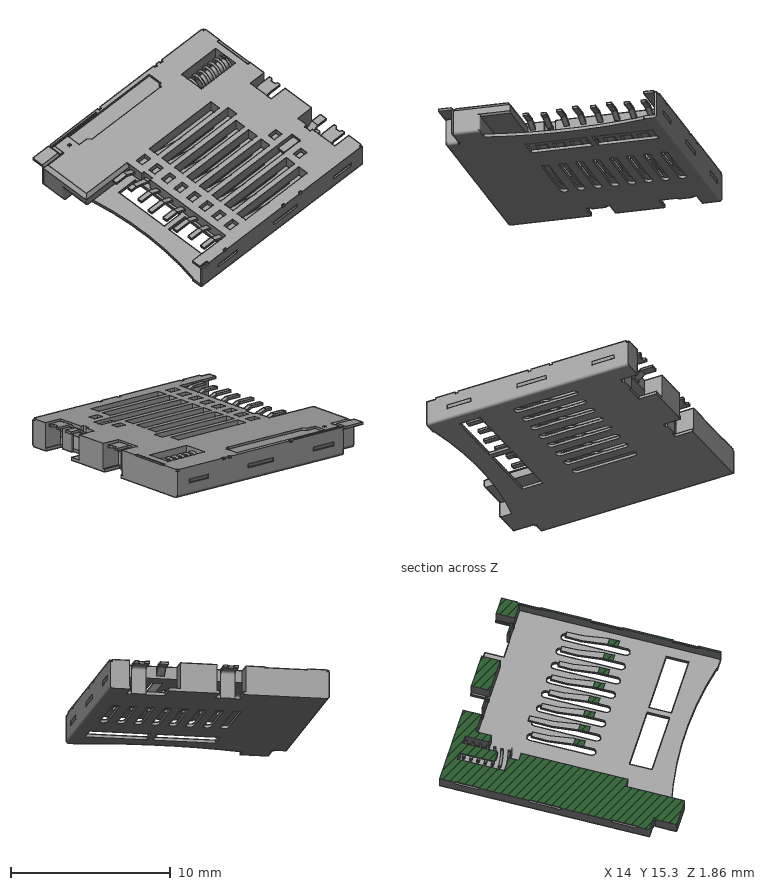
import cadquery as cq
import math


WIDTH = 14.0
LENGTH = 15.25
HEIGHT = 1.86

SHEET = 0.2
LONG_EDGE_RADIUS = 0.19
SHELL = 0.14
FLANGE = 0.15
CAVITY_TOP = 1.08
CAVITY_LEFT = 2.73
CAVITY_RIGHT = WIDTH - SHELL
REAR_WALL_Y = 14.01
CORNER_STEPS = ((3.45, 11.5), (4.02, 13.0))
CORNER_RIB_WIDTH = 0.55
CORNER_RIB_FOOT = 0.3
CORNER_RIB_RADIUS = 0.825
CORNER_RIB_LENGTH = 7.0

BLOCK_LEFT = 0.97
BLOCK_RIGHT = 4.69
BLOCK_CHAMFER_FRONT = 0.25
BLOCK_CHAMFER_RIGHT = 0.21
BLOCK_CHAMFER_LEFT = 0.14
BLOCK_CHAMFER_HEIGHT = 0.24
LEAD_IN = 0.12
BODY_FRONT_Y = 3.87
RIGHT_ARM_LEFT = 13.15
RIGHT_ARM_FRONT = 0.91
ARM_RECESS_REAR = 3.97
ARM_LEAD_IN_HEIGHT = 0.22
ARM_LEAD_IN_LENGTH = 1.0
LIP_LEFT_Y = 0.9
LIP_CREST = (8.1, 1.53)
LIP_RIGHT_Y = 0.97

WINDOW_Y = (2.78, 4.25)
WINDOWS_X = ((4.82, 8.83), (9.2, RIGHT_ARM_LEFT))

FLAP_REAR = 1.4
FLAP_WALL_LEFT = 0.84
FLAP_WALL_SETBACK = 0.03
CORNER_RADIUS = 0.13
FLAP_GAP_REAR = 1.53
EDGE_CHAMFER = 0.14
EDGE_CHAMFER_REAR = 5.5

CONTACTS = 8
CONTACT_PITCH = 1.104
FIRST_CONTACT_X = 5.03
RAISED_CONTACT = 1
DETECT_CONTACT = 5
SHORT_CONTACTS = (3, 5)
SLOT_WIDTH = 0.74
SLOT_FRONT = 5.68
SLOT_REAR = 11.18
RAISED_SLOT_REAR = 11.6
RAISED_NOTCH_DEPTH = 0.2
DETECT_SLOT_REAR = 12.82
SHEET_SLOT_WIDTH = 0.5
SHEET_SLOT_FRONT = 6.5
SHEET_SLOT_REAR = 10.99

LEG_WIDTH = 0.33
LEG_END = 2.2
LEG_BEND = 3.14
RAISED_LEG_END = 2.43
RAISED_LEG_BEND = 2.86
LONG_LEG_END = 2.0
LEG_ROOT_TOP = 1.52
LEG_EMBED = 0.6
BEAM_ROOT_WIDTH = 0.52
BEAM_END_WIDTH = 0.38
BEAM_ROOT_TOP = 1.42
BEAM_EMBED = 0.2
BEAM_BEND_Y = 9.6
BEAM_LOW_TOP = 0.56
TIP_WIDTH = 0.33
TIP_END = 10.68
RAISED_TIP_END = 11.18
SHORT_TIP_END = 10.5

POCKET_WIDTH = 0.52
POCKET_DEPTH = 0.34
FRONT_POCKET_Y = (4.41, 5.15)
REAR_POCKET_Y = (11.71, 12.38)
REAR_POCKET_CONTACTS = (4, 6)

NOTCHES_X = ((5.33, 7.17), (9.51, 12.77))
SHEET_NOTCHES_X = ((5.47, 7.04), (10.26, 12.71))
TAB_CENTERS_X = (6.27, 11.955)
TAB_WIDTH = 0.92
TAB_BEND_RADIUS = 0.34
TAB_NOTCH_TOP = 0.5
TAB_NOTCH_BOTTOM = 0.32
TAB_NOTCH_DEPTH = 0.17

STRIP_X = (10.28, 10.8)
STRIP_BEND_Y = 14.48
STRIP_ROOT_Y = 13.7
STRIP_SLOPE = 0.7
STRIP_NOTCH_FRONT = 13.81
STRIP_NOTCH_DEPTH = 0.6
PAD_FRONT = 11.47
PAD_DEPTH = 0.15

SPRING_POCKET_X = (1.74, 3.48)
SPRING_POCKET_Y = (11.52, 14.56)
SPRING_X = 2.58
SPRING_Z = 1.03
SPRING_RADIUS = 0.635
WIRE_RADIUS = 0.085
SPRING_PITCH = 0.47
SPRING_EMBED = 0.12
SPRING_START_ANGLE = 180
ROD_RADIUS = 0.41
ROD_FRONT = 12.26
ROD_TAPER = 0.1

RECESS_DEPTH = 0.15
RECESS_OUTLINE = (
    (0.3, 10.1), (1.34, 10.1), (1.34, 9.91), (1.54, 9.91),
    (1.54, 3.74), (1.29, 3.49), (1.29, 2.84), (0.3, 2.84),
)
PIN_HOLE_CENTER = (0.88, 2.4)
PIN_HOLE_SIZE = 0.18

LATCHES_Y = ((2.38, 4.05), (7.33, 9.41), (12.67, 14.24))
LATCH_Z = (0.79, 1.05)
LATCH_DEPTH = 0.12

NICK_SIZE = 0.14
NICK_LENGTH = 0.2
NICK_DEPTH = 0.12
LEFT_NICKS_Y = (11.38, 10.89, 5.88)
RIGHT_NICKS_Y = (9.75, 8.23, 3.04)
CORNER_RELIEF = (0.2, 0.62, 0.1)
REAR_RECESS_X = (1.4, 4.09)
REAR_RECESS_WIDTH = 0.19
REAR_RECESS_DEPTH = 0.05

THROUGH = 1.0


def box(x, y, z):
    """Box from three (low, high) ranges."""
    return (
        cq.Workplane("XY")
        .box(x[1] - x[0], y[1] - y[0], z[1] - z[0], centered=False)
        .translate((x[0], y[0], z[0]))
    )


def side_profile(points, x):
    """Extrude a (y, z) outline over an x range."""
    return cq.Workplane("YZ").polyline(points).close().extrude(x[1] - x[0]).translate((x[0], 0, 0))


def front_profile(points, y):
    """Extrude an (x, z) outline over a y range."""
    return cq.Workplane("XZ").polyline(points).close().extrude(y[0] - y[1]).translate((0, y[0], 0))


def centered_range(center, width):
    return (center - width / 2, center + width / 2)


def contact_x(index):
    return FIRST_CONTACT_X + index * CONTACT_PITCH


def housing():
    """Shell and plastic body joined, with the card cavity and the stepped front outline."""
    body = box((0, WIDTH), (0, LENGTH), (0, HEIGHT))
    body = body.edges("|Y and <Z").fillet(LONG_EDGE_RADIUS)

    body = body.cut(box((CAVITY_LEFT, CAVITY_RIGHT), (-THROUGH, REAR_WALL_Y), (SHEET, CAVITY_TOP)))
    mouth = [(0, CAVITY_TOP), (0, CAVITY_TOP + LEAD_IN), (LEAD_IN, CAVITY_TOP)]
    body = body.cut(side_profile(mouth, (CAVITY_LEFT, BLOCK_RIGHT)))
    for right, front in CORNER_STEPS:
        body = body.union(box((CAVITY_LEFT, right), (front, REAR_WALL_Y), (SHEET, CAVITY_TOP)))
    rib = (
        cq.Workplane("XZ")
        .moveTo(CAVITY_LEFT, CAVITY_TOP)
        .lineTo(CAVITY_LEFT + CORNER_RIB_WIDTH, CAVITY_TOP)
        .radiusArc((CAVITY_LEFT, CORNER_RIB_FOOT), CORNER_RIB_RADIUS)
        .close()
        .extrude(-CORNER_RIB_LENGTH)
        .translate((0, BODY_FRONT_Y, 0))
    )
    body = body.union(rib)

    body = body.cut(
        box((BLOCK_RIGHT, RIGHT_ARM_LEFT), (-THROUGH, BODY_FRONT_Y), (SHEET, HEIGHT + THROUGH))
    )
    lip = (
        cq.Workplane("XY")
        .moveTo(CAVITY_LEFT, -THROUGH)
        .lineTo(CAVITY_LEFT, LIP_LEFT_Y)
        .threePointArc(LIP_CREST, (RIGHT_ARM_LEFT, LIP_RIGHT_Y))
        .lineTo(RIGHT_ARM_LEFT, -THROUGH)
        .close()
        .extrude(SHEET)
    )
    body = body.cut(lip)

    full = (-THROUGH, HEIGHT + THROUGH)
    before_arm = (-THROUGH, RIGHT_ARM_FRONT)
    body = body.cut(box((RIGHT_ARM_LEFT, WIDTH + THROUGH), before_arm, full))
    under_flange = (SHEET, HEIGHT - FLANGE)
    body = body.cut(box((RIGHT_ARM_LEFT, CAVITY_RIGHT), (0, ARM_RECESS_REAR), under_flange))
    arm_mouth = [
        (ARM_RECESS_REAR, CAVITY_TOP),
        (ARM_RECESS_REAR, CAVITY_TOP + ARM_LEAD_IN_HEIGHT),
        (ARM_RECESS_REAR + ARM_LEAD_IN_LENGTH, CAVITY_TOP),
    ]
    body = body.cut(side_profile(arm_mouth, (RIGHT_ARM_LEFT, CAVITY_RIGHT)))

    for window in WINDOWS_X:
        body = body.cut(box(window, WINDOW_Y, (-THROUGH, SHEET)))
    return body


def chamfer_front_block(body):
    """Bevel the top edges of the left block and of the housing edge behind it."""
    low = HEIGHT - BLOCK_CHAMFER_HEIGHT
    front = [(0, low), (0, HEIGHT), (BLOCK_CHAMFER_FRONT, HEIGHT)]
    body = body.cut(side_profile(front, (BLOCK_LEFT, BLOCK_RIGHT)))
    right = [(BLOCK_RIGHT, low), (BLOCK_RIGHT, HEIGHT), (BLOCK_RIGHT - BLOCK_CHAMFER_RIGHT, HEIGHT)]
    body = body.cut(front_profile(right, (0, BODY_FRONT_Y)))

    low = HEIGHT - EDGE_CHAMFER
    left = [(BLOCK_LEFT, low), (BLOCK_LEFT, HEIGHT), (BLOCK_LEFT + BLOCK_CHAMFER_LEFT, HEIGHT)]
    body = body.cut(front_profile(left, (0, FLAP_GAP_REAR + EDGE_CHAMFER)))
    side = [(SHELL, low), (SHELL, HEIGHT), (SHELL + EDGE_CHAMFER, HEIGHT)]
    body = body.cut(front_profile(side, (FLAP_GAP_REAR, EDGE_CHAMFER_REAR)))
    step = [(FLAP_GAP_REAR, low), (FLAP_GAP_REAR, HEIGHT), (FLAP_GAP_REAR + EDGE_CHAMFER, HEIGHT)]
    return body.cut(side_profile(step, (SHELL, BLOCK_LEFT)))


def cut_flap(body):
    """Leave a thin flap with a bent-down wall at the left front corner."""
    full = (-THROUGH, HEIGHT + THROUGH)
    body = body.cut(box((-THROUGH, BLOCK_LEFT), (FLAP_REAR, FLAP_GAP_REAR), full))
    below = (-THROUGH, HEIGHT - FLANGE)
    body = body.cut(box((-THROUGH, FLAP_WALL_LEFT), (-THROUGH, FLAP_GAP_REAR), below))
    bend = [
        (FLAP_WALL_LEFT, HEIGHT),
        (BLOCK_LEFT, HEIGHT),
        (BLOCK_LEFT, HEIGHT - EDGE_CHAMFER),
    ]
    body = body.cut(front_profile(bend, (0, FLAP_REAR)))
    wall_end = (-THROUGH, HEIGHT - FLANGE)
    body = body.cut(box((FLAP_WALL_LEFT, BLOCK_LEFT), (-THROUGH, FLAP_WALL_SETBACK), wall_end))
    return round_front_corners(body)


def round_front_corners(body):
    """Rounded corners and bottom bends around the left block and the left wall's front end."""
    corners = (
        (CAVITY_LEFT, 0, -1, CAVITY_TOP + LEAD_IN),
        (0, FLAP_GAP_REAR, 1, HEIGHT - FLANGE),
    )
    for x, y, toward, top in corners:
        corner = (
            cq.Workplane("XY", origin=(x, y, -THROUGH))
            .lineTo(0, CORNER_RADIUS)
            .radiusArc((toward * CORNER_RADIUS, 0), -toward * CORNER_RADIUS)
            .close()
            .extrude(THROUGH + top)
        )
        body = body.cut(corner)
    for y, right in ((0, CAVITY_LEFT), (FLAP_GAP_REAR, FLAP_WALL_LEFT)):
        edge = (
            cq.Workplane("YZ", origin=(0, y, 0))
            .lineTo(0, SHEET)
            .radiusArc((SHEET, 0), -SHEET)
            .close()
            .extrude(right)
        )
        body = body.cut(edge)
    wall_edge = (
        cq.Workplane("XZ", origin=(FLAP_WALL_LEFT, 0, 0))
        .lineTo(0, SHEET)
        .radiusArc((SHEET, 0), -SHEET)
        .close()
        .extrude(-FLAP_REAR)
    )
    return body.cut(wall_edge)


def cut_contact_slots(body):
    """Slots over the contacts, round-ended slots in the sheet and the blind pockets."""
    top = (CAVITY_TOP, HEIGHT + THROUGH)
    pocket_z = (HEIGHT - POCKET_DEPTH, HEIGHT + THROUGH)
    rears = {RAISED_CONTACT: RAISED_SLOT_REAR, DETECT_CONTACT: DETECT_SLOT_REAR}
    for index in range(CONTACTS):
        x = contact_x(index)
        rear = rears.get(index, SLOT_REAR)
        body = body.cut(box(centered_range(x, SLOT_WIDTH), (SLOT_FRONT, rear), top))
        sheet_slot = (
            cq.Workplane("XY")
            .center(x, (SHEET_SLOT_FRONT + SHEET_SLOT_REAR) / 2)
            .slot2D(SHEET_SLOT_REAR - SHEET_SLOT_FRONT, SHEET_SLOT_WIDTH, 90)
            .extrude(SHEET)
        )
        body = body.cut(sheet_slot)
        pocket = centered_range(x, POCKET_WIDTH)
        body = body.cut(box(pocket, FRONT_POCKET_Y, pocket_z))
        if index in REAR_POCKET_CONTACTS:
            body = body.cut(box(pocket, REAR_POCKET_Y, pocket_z))
    notch = centered_range(contact_x(RAISED_CONTACT), SLOT_WIDTH)
    return body.cut(box(notch, (BODY_FRONT_Y, BODY_FRONT_Y + RAISED_NOTCH_DEPTH), top))


def contact(index):
    """One contact: solder leg at the front and a tapered beam dipping into the cavity."""
    x = contact_x(index)
    leg_end, leg_bend, tip_end = LEG_END, LEG_BEND, TIP_END
    if index == RAISED_CONTACT:
        leg_end, leg_bend, tip_end = RAISED_LEG_END, RAISED_LEG_BEND, RAISED_TIP_END
    if index in SHORT_CONTACTS:
        leg_end, tip_end = LONG_LEG_END, SHORT_TIP_END

    leg_top = [
        (leg_end, HEIGHT),
        (leg_bend, HEIGHT),
        (BODY_FRONT_Y, LEG_ROOT_TOP),
        (BODY_FRONT_Y + LEG_EMBED, LEG_ROOT_TOP),
    ]
    leg = side_profile(strip_outline(leg_top), centered_range(x, LEG_WIDTH))

    beam_top = [
        (SLOT_FRONT - BEAM_EMBED, BEAM_ROOT_TOP),
        (SLOT_FRONT, BEAM_ROOT_TOP),
        (BEAM_BEND_Y, BEAM_LOW_TOP),
        (tip_end, BEAM_LOW_TOP),
    ]
    beam = side_profile(strip_outline(beam_top), centered_range(x, BEAM_ROOT_WIDTH))
    plan = [
        (BEAM_ROOT_WIDTH / 2, SLOT_FRONT - BEAM_EMBED),
        (BEAM_END_WIDTH / 2, BEAM_BEND_Y),
        (TIP_WIDTH / 2, tip_end),
    ]
    outline = [(x + half, y) for half, y in plan] + [(x - half, y) for half, y in reversed(plan)]
    beam = beam.intersect(cq.Workplane("XY").polyline(outline).close().extrude(HEIGHT))
    return leg, beam


def strip_outline(top):
    """Outline of a bent strip from its upper line, with the flange thickness below it."""
    return top + [(y, z - FLANGE) for y, z in reversed(top)]


def cut_rear_notches(body):
    rear = (REAR_WALL_Y, LENGTH + THROUGH)
    for notch in NOTCHES_X:
        body = body.cut(box(notch, rear, (SHEET, HEIGHT + THROUGH)))
    for notch in SHEET_NOTCHES_X:
        body = body.cut(box(notch, rear, (-THROUGH, SHEET)))
    strip_notch_z = (HEIGHT - STRIP_NOTCH_DEPTH, HEIGHT + THROUGH)
    return body.cut(box(STRIP_X, (STRIP_NOTCH_FRONT, REAR_WALL_Y), strip_notch_z))


def solder_tab(x):
    """Tab bent up from the sheet against the rear wall, then back level with the top."""
    bend_y = REAR_WALL_Y + TAB_BEND_RADIUS
    bend_z = HEIGHT - TAB_BEND_RADIUS
    inner = TAB_BEND_RADIUS - FLANGE
    tab = (
        cq.Workplane("YZ")
        .moveTo(REAR_WALL_Y, 0)
        .lineTo(REAR_WALL_Y, bend_z)
        .radiusArc((bend_y, HEIGHT), TAB_BEND_RADIUS)
        .lineTo(LENGTH, HEIGHT)
        .lineTo(LENGTH, HEIGHT - FLANGE)
        .lineTo(bend_y, HEIGHT - FLANGE)
        .radiusArc((bend_y - inner, bend_z), -inner)
        .lineTo(bend_y - inner, 0)
        .close()
        .extrude(TAB_WIDTH)
        .translate((x - TAB_WIDTH / 2, 0, 0))
    )
    notch = [
        (x - TAB_NOTCH_TOP / 2, LENGTH),
        (x - TAB_NOTCH_BOTTOM / 2, LENGTH - TAB_NOTCH_DEPTH),
        (x + TAB_NOTCH_BOTTOM / 2, LENGTH - TAB_NOTCH_DEPTH),
        (x + TAB_NOTCH_TOP / 2, LENGTH),
    ]
    return tab.cut(cq.Workplane("XY").polyline(notch).close().extrude(HEIGHT))


def detection_strip():
    """Strip leaving the rear notch, and its contact pad in the sixth slot."""
    root_z = HEIGHT - STRIP_SLOPE * (STRIP_BEND_Y - STRIP_ROOT_Y)
    top = [(LENGTH, HEIGHT), (STRIP_BEND_Y, HEIGHT), (STRIP_ROOT_Y, root_z)]
    strip = side_profile(strip_outline(top), STRIP_X)
    pad_top = HEIGHT - PAD_DEPTH
    pad = box(STRIP_X, (PAD_FRONT, DETECT_SLOT_REAR + FLANGE), (pad_top - FLANGE, pad_top))
    return strip, pad


def cut_spring_pocket(body):
    return body.cut(box(SPRING_POCKET_X, SPRING_POCKET_Y, (SHEET, HEIGHT + THROUGH)))


def spring_rod():
    """Guide rod fixed in the rear wall of the spring pocket, with a bevelled free end."""
    return (
        cq.Workplane("XZ", origin=(SPRING_X, ROD_FRONT, SPRING_Z))
        .circle(ROD_RADIUS)
        .extrude(ROD_FRONT - SPRING_POCKET_Y[1] - SPRING_EMBED)
        .faces("<Y")
        .chamfer(ROD_TAPER)
    )


def spring():
    """Left-hand coil whose ends are buried in the two end walls of the pocket."""
    start_y = SPRING_POCKET_Y[0] - SPRING_EMBED
    length = SPRING_POCKET_Y[1] - SPRING_POCKET_Y[0] + 2 * SPRING_EMBED
    path = cq.Wire.makeHelix(SPRING_PITCH, length, SPRING_RADIUS, lefthand=True)
    lean = math.degrees(math.atan2(SPRING_PITCH, 2 * math.pi * SPRING_RADIUS))
    coil = (
        cq.Workplane("XZ", origin=(SPRING_RADIUS, 0, 0))
        .transformed(rotate=(-lean, 0, 0))
        .circle(WIRE_RADIUS)
        .sweep(cq.Workplane(path), isFrenet=True)
    )
    coil = coil.rotate((0, 0, 0), (0, 0, 1), SPRING_START_ANGLE)
    return coil.rotate((0, 0, 0), (1, 0, 0), -90).translate((SPRING_X, start_y, SPRING_Z))


def cut_top_details(body):
    """Leaf-spring recess, pin hole, edge nicks and reliefs."""
    recess = (
        cq.Workplane("XY", origin=(0, 0, HEIGHT - RECESS_DEPTH))
        .polyline(RECESS_OUTLINE)
        .close()
        .extrude(RECESS_DEPTH)
    )
    body = body.cut(recess)
    nick_z = (HEIGHT - NICK_DEPTH, HEIGHT + THROUGH)
    hole_x = centered_range(PIN_HOLE_CENTER[0], PIN_HOLE_SIZE)
    hole_y = centered_range(PIN_HOLE_CENTER[1], PIN_HOLE_SIZE)
    body = body.cut(box(hole_x, hole_y, nick_z))

    left = (-THROUGH, NICK_SIZE)
    right = (WIDTH - NICK_SIZE, WIDTH + THROUGH)
    rear = (LENGTH - NICK_SIZE, LENGTH + THROUGH)
    for side, places in ((left, LEFT_NICKS_Y), (right, RIGHT_NICKS_Y)):
        for y in places:
            body = body.cut(box(side, centered_range(y, NICK_LENGTH), nick_z))
        body = body.cut(box(side, rear, nick_z))

    relief_x, relief_y, relief_depth = CORNER_RELIEF
    body = body.cut(
        box(
            (WIDTH - relief_x, WIDTH + THROUGH),
            (RIGHT_ARM_FRONT, RIGHT_ARM_FRONT + relief_y),
            (HEIGHT - relief_depth, HEIGHT),
        )
    )
    return body.cut(
        box(REAR_RECESS_X, (LENGTH - REAR_RECESS_WIDTH, LENGTH), (HEIGHT - REAR_RECESS_DEPTH, HEIGHT))
    )


def cut_latches(body):
    """Wedge-shaped lances: deepest at the lower edge, flush at the upper edge."""
    low, high = LATCH_Z
    left = [(0, low), (LATCH_DEPTH, low), (0, high)]
    right = [(WIDTH - x, z) for x, z in left]
    for span in LATCHES_Y:
        body = body.cut(front_profile(left, span))
        body = body.cut(front_profile(right, span))
    return body


part = chamfer_front_block(housing())
part = cut_flap(part)
part = cut_contact_slots(part)
part = cut_rear_notches(part)
part = cut_spring_pocket(part)
part = cut_top_details(part)
part = cut_latches(part)

for number in range(CONTACTS):
    for piece in contact(number):
        part = part.union(piece)
for center in TAB_CENTERS_X:
    part = part.union(solder_tab(center))
for piece in detection_strip():
    part = part.union(piece)
part = part.union(spring_rod())
part = part.union(spring())

result = part